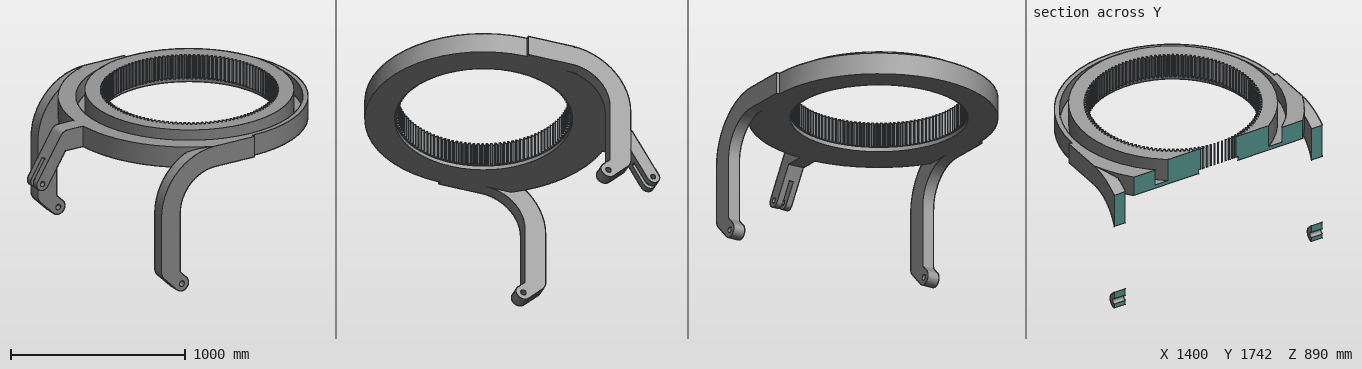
import cadquery as cq
import math

overall_length = 1742.0

housing_height = 127.0
back_radius = 680.0
front_radius = 751.0
half_width = 700.0

pocket_radius = 1300.0 / 2
pocket_floor = 26.0
gear_outer_radius = 1195.0 / 2
gear_top = housing_height + 42.0

tooth_count = 125
root_radius = 1017.0 / 2
tip_radius = 490.0
tooth_tip_width = 7.0
tooth_root_width = 20.0

leg_thickness = 75.0
leg_depth = housing_height
leg_front = 629.0
leg_bend_radius = 362.0
leg_eye_reach = 491.0
leg_eye_drop = 803.0
leg_eye_radius = 45.0
leg_hole_diameter = 33.0
leg_foot_angle = 45.0
leg_knee_radius = 65.0
leg_inner_knee_radius = 17.0

arm_width = 101.0
arm_root_reach = 697.0
arm_eye_radius = 40.0
arm_eye_reach = overall_length - back_radius - arm_eye_radius
arm_eye_drop = 298.0
arm_hole_diameter = 30.0
arm_slope_angle = 58.0
arm_knee_radius = 52.0
fork_gap = 26.0
fork_depth = 135.0


def cylinder(radius, bottom, top):
    return cq.Workplane("XY").workplane(offset=bottom).circle(radius).extrude(top - bottom)


def side_profile(x):
    """Sketch plane at the given x; local coordinates are (y, z) and it extrudes toward +X."""
    return cq.Workplane("YZ", origin=(x, 0, 0))


def shifted(point, distance, angle):
    """Point moved a distance in the (y, z) plane; the angle is in degrees from +Y."""
    turn = math.radians(angle)
    return point[0] + distance * math.cos(turn), point[1] + distance * math.sin(turn)


def make_housing():
    back = cylinder(back_radius, 0, housing_height)
    front_limits = cq.Workplane("XY").rect(2 * half_width, front_radius).extrude(housing_height)
    front_limits = front_limits.translate((0, -front_radius / 2, 0))
    front = cylinder(front_radius, 0, housing_height).intersect(front_limits)
    return back.union(front)


def make_leg(left_face):
    eye = (-leg_eye_reach, housing_height - leg_eye_drop)
    leg_back = leg_front - leg_depth
    bend_center = (leg_bend_radius - leg_front, housing_height - leg_bend_radius)
    inner_bend_radius = leg_bend_radius - leg_depth
    bend_middle_angle = 135
    outer_bend_middle = shifted(bend_center, leg_bend_radius, bend_middle_angle)
    inner_bend_middle = shifted(bend_center, inner_bend_radius, bend_middle_angle)
    foot_slope = math.tan(math.radians(leg_foot_angle))

    outer_tangent = shifted(eye, leg_eye_radius, -90 - leg_foot_angle)
    inner_tangent = shifted(eye, leg_eye_radius, 90 - leg_foot_angle)
    eye_tip = shifted(eye, leg_eye_radius, -leg_foot_angle)
    outer_knee_z = outer_tangent[1] + (outer_tangent[0] + leg_front) * foot_slope
    inner_knee_z = inner_tangent[1] + (inner_tangent[0] + leg_back) * foot_slope

    leg = (
        side_profile(left_face)
        .moveTo(0, 0)
        .lineTo(0, housing_height)
        .lineTo(bend_center[0], housing_height)
        .threePointArc(outer_bend_middle, (-leg_front, bend_center[1]))
        .lineTo(-leg_front, outer_knee_z)
        .lineTo(*outer_tangent)
        .threePointArc(eye_tip, inner_tangent)
        .lineTo(-leg_back, inner_knee_z)
        .lineTo(-leg_back, bend_center[1])
        .threePointArc(inner_bend_middle, (bend_center[0], 0))
        .close()
        .extrude(leg_thickness)
    )
    middle = left_face + leg_thickness / 2
    outer_knee = cq.NearestToPointSelector((middle, -leg_front, outer_knee_z))
    leg = leg.edges(outer_knee).fillet(leg_knee_radius)
    inner_knee = cq.NearestToPointSelector((middle, -leg_back, inner_knee_z))
    leg = leg.edges(inner_knee).fillet(leg_inner_knee_radius)
    hole = side_profile(left_face).center(*eye).circle(leg_hole_diameter / 2).extrude(leg_thickness)
    return leg.cut(hole)


def make_front_arm():
    eye = (-arm_eye_reach, housing_height - arm_eye_drop)
    slope_run = 1 / math.tan(math.radians(arm_slope_angle))
    left_face = -arm_width / 2

    outer_tangent = shifted(eye, arm_eye_radius, 90 + arm_slope_angle)
    inner_tangent = shifted(eye, arm_eye_radius, arm_slope_angle - 90)
    eye_tip = shifted(eye, arm_eye_radius, 180 + arm_slope_angle)
    outer_knee_y = outer_tangent[0] + (housing_height - outer_tangent[1]) * slope_run
    inner_knee_y = inner_tangent[0] - inner_tangent[1] * slope_run

    arm = (
        side_profile(left_face)
        .moveTo(-arm_root_reach, 0)
        .lineTo(-arm_root_reach, housing_height)
        .lineTo(outer_knee_y, housing_height)
        .lineTo(*outer_tangent)
        .threePointArc(eye_tip, inner_tangent)
        .lineTo(inner_knee_y, 0)
        .close()
        .extrude(arm_width)
    )
    outer_knee = cq.NearestToPointSelector((0, outer_knee_y, housing_height))
    arm = arm.edges(outer_knee).fillet(arm_knee_radius)
    hole = side_profile(left_face).center(*eye).circle(arm_hole_diameter / 2).extrude(arm_width)

    eye_diameter = 2 * arm_eye_radius
    slot_length = fork_depth + eye_diameter
    slot_center = shifted(eye, fork_depth - slot_length / 2, arm_slope_angle)
    slot = (
        cq.Workplane("XY")
        .box(fork_gap, slot_length, 2 * eye_diameter)
        .rotate((0, 0, 0), (1, 0, 0), arm_slope_angle)
        .translate((0, *slot_center))
    )
    return arm.cut(hole).cut(slot)


def make_gear():
    """Toothed ring with one tooth centred on -Y."""
    gear = cylinder(gear_outer_radius, pocket_floor, gear_top)
    pitch_angle = 2 * math.pi / tooth_count
    root_half_angle = tooth_root_width / 2 / root_radius
    tip_half_angle = tooth_tip_width / 2 / tip_radius

    def at(radius, angle):
        return radius * math.cos(angle), radius * math.sin(angle)

    outline = []
    for index in range(tooth_count):
        middle = index * pitch_angle - math.pi / 2
        outline.append(at(root_radius, middle - root_half_angle))
        outline.append(at(tip_radius, middle - tip_half_angle))
        outline.append(at(tip_radius, middle + tip_half_angle))
        outline.append(at(root_radius, middle + root_half_angle))
    opening = cq.Workplane("XY").workplane(offset=pocket_floor).polyline(outline).close()
    return gear.cut(opening.extrude(gear_top - pocket_floor))


body = make_housing().union(make_front_arm())
for leg_left_face in (-half_width, half_width - leg_thickness):
    body = body.union(make_leg(leg_left_face))
body = body.cut(cylinder(pocket_radius, pocket_floor, housing_height))
body = body.cut(cylinder(root_radius, 0, pocket_floor))
result = body.union(make_gear())